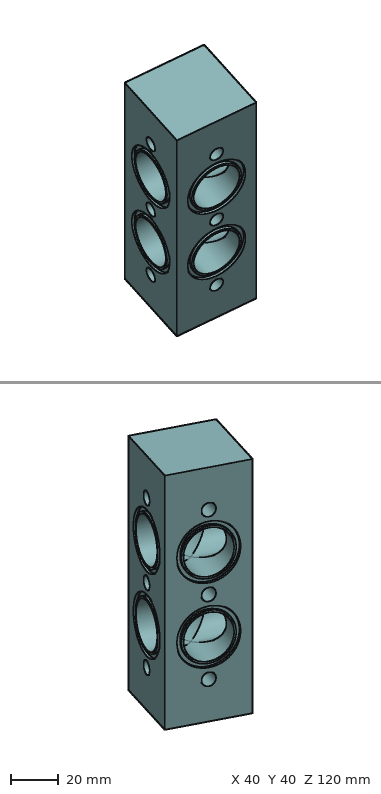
import cadquery as cq

height = 120.0
width = height / 3
half_width = width / 2
pitch = width

bore_diameter = 23.0
groove_inner_diameter = 25.0
groove_outer_diameter = 29.0
groove_depth = 1.5
port_heights = [-pitch / 2, pitch / 2]

bolt_diameter = 6.6
bolt_heights = [-pitch, 0, pitch]


def cylinder_across(diameter, z, start, length):
    """Cylinder along Y at height z, from start towards +Y."""
    return cq.Workplane("XZ", origin=(0, start, z)).circle(diameter / 2).extrude(-length)


def seal_groove(z, start):
    """Ring-shaped cutter around a port, from start towards +Y."""
    outer = cylinder_across(groove_outer_diameter, z, start, groove_depth)
    inner = cylinder_across(groove_inner_diameter, z, start, groove_depth)
    return outer.cut(inner)


def hole_row():
    """All cutters of the row of holes that runs along Y."""
    cutters = []
    for z in port_heights:
        cutters.append(cylinder_across(bore_diameter, z, -half_width, width))
        cutters.append(seal_groove(z, -half_width))
        cutters.append(seal_groove(z, half_width - groove_depth))
    for z in bolt_heights:
        cutters.append(cylinder_across(bolt_diameter, z, -half_width, width))
    return cutters


result = cq.Workplane("XY").box(width, width, height)

for turn in [0, 90]:
    for cutter in hole_row():
        result = result.cut(cutter.rotate((0, 0, 0), (0, 0, 1), turn))